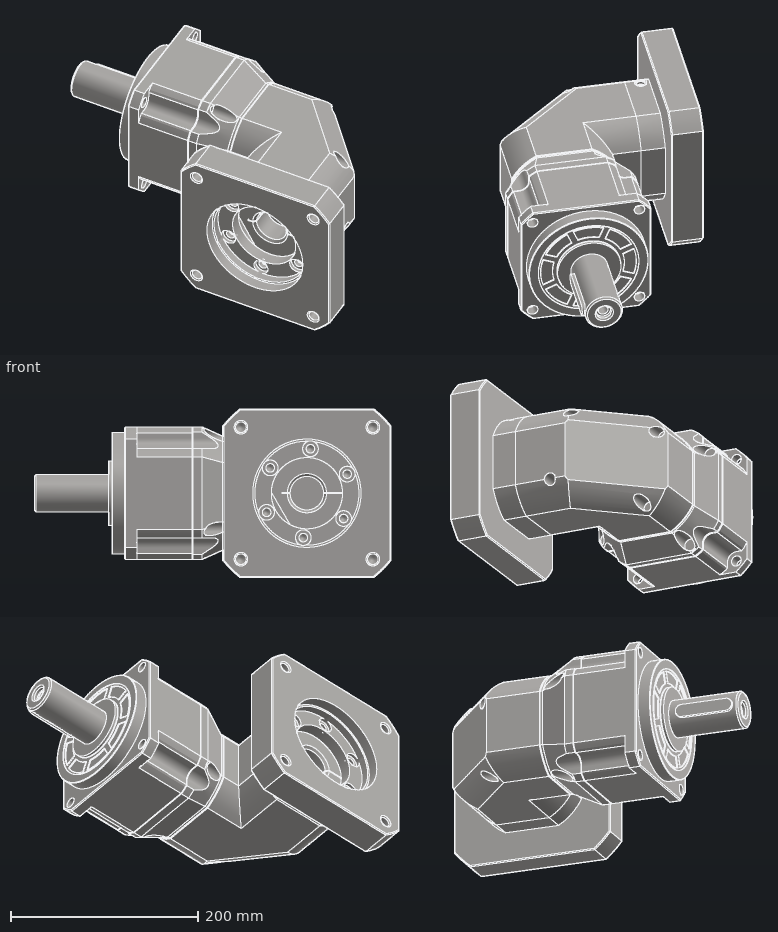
import cadquery as cq
import math


SHAFT_TIP = -291.0
SHOULDER_FRONT = SHAFT_TIP + 79.2
BOSS_FRONT = SHOULDER_FRONT + 3.5
FLANGE_FRONT = SHAFT_TIP + 96.5
FLANGE_BACK = FLANGE_FRONT + 13.0
HOUSING_SEAM = SHAFT_TIP + 169.0
TAPER_START = HOUSING_SEAM + 10.0
TAPER_END = TAPER_START + 30.5
ELBOW_SEAM = TAPER_END + 3.0

PLATE_FRONT = -149.7
PLATE_THICKNESS = 35.0
PLATE_BACK = PLATE_FRONT + PLATE_THICKNESS
COLLAR_SEAM = -88.5

HOUSING_SIDE = 141.7
HOUSING_CORNER_RADIUS = 80.8
FLANGE_CORNER_RADIUS = 91.5
LEG_SIDE = 114.3
LEG_CORNER_RADIUS = 64.8
PLATE_SIDE = 180.0
PLATE_CORNER_RADIUS = 115.0
EDGE_CHAMFER = 1.0
SEAM_CHAMFER = 0.8

SHAFT_RADIUS = 20.2
SHAFT_CHAMFER = 2.0
SHOULDER_RADIUS = 34.5
CENTRE_SINK_RADIUS = 10.0
CENTRE_BORE_RADIUS = 8.0
CENTRE_BORE_DEPTH = 4.0
CENTRE_DRILL_RADIUS = 5.5
CENTRE_DRILL_DEPTH = 23.0
KEY_LENGTH = 64.8
KEY_WIDTH = 13.7
KEY_HEIGHT = 9.0
KEY_TOP = 23.0
KEY_START = SHAFT_TIP + 5.7

BOSS_RADIUS = 65.0
BOSS_CHAMFER = 0.57
FACE_RECESS_RADIUS = 55.0
FACE_RECESS_DEPTH = 0.8
POCKET_COUNT = 8
POCKET_INNER_RADIUS = 39.2
POCKET_OUTER_RADIUS = 52.2
POCKET_RIB_WIDTH = 7.2
POCKET_DEPTH = 1.0
BOLT_OFFSET = 58.3
BOLT_HOLE_RADIUS = 5.7
GROOVE_RADIUS = 10.5
GROOVE_WALL = BOLT_OFFSET - GROOVE_RADIUS
BEVEL_WIDTH = 2.0
BEVEL_DEPTH = 2.3

SCALLOP_RADIUS = 7.2
SCALLOP_ACROSS = 38.0
SCALLOP_HEIGHT = 61.7

SLANT_ANGLE = 49.6
SLANT_DEPTH = 24.5
ELBOW_BORE_RADIUS = 6.5
ELBOW_BORE_ACROSS = 30.5
ELBOW_BORE_HEIGHT = 47.5
ELBOW_BORE_FLOOR = -26.5

CAVITY_RADIUS = 38.0
HUB_BORE_RADIUS = 18.0
HUB_BORE_CHAMFER = 3.0
HUB_FLAT_DISTANCE = 32.5
HUB_FLAT_ANGLE = 210
HUB_SLIT_WIDTH = 1.0
HUB_NOTCH_END = 26.5
ACCESS_X = 27.0
ACCESS_Y = -105.0
ACCESS_RADIUS = 3.0
ACCESS_SINK_RADIUS = 6.5
ACCESS_SINK_DEPTH = 2.3
ACCESS_BORE_RADIUS = 4.5
ACCESS_BORE_DEPTH = 5.7

PILOT_RADIUS = 55.5
PILOT_DEPTH = 21.5
PILOT_LIP_RADIUS = 58.0
PILOT_LIP_DEPTH = 12.2
MOUNT_OFFSET = 70.5
MOUNT_RADIUS = 5.7
MOUNT_SINK_RADIUS = 7.2
MOUNT_DEPTH = 23.0
SCREW_COUNT = 6
SCREW_CIRCLE_RADIUS = 47.5
SCREW_START_ANGLE = 25.4
SCREW_HEAD_RADIUS = 8.5
SCREW_HEAD_DEPTH = 13.5
SCREW_HOLE_RADIUS = 4.5
SCREW_HOLE_DEPTH = 19.0

DRILL_TIP_SLOPE = 0.5
FAR = 381.0


def x_cylinder(radius, start, end, y=0, z=0):
    return cq.Workplane("YZ", origin=(start, y, z)).circle(radius).extrude(end - start)


def y_cylinder(radius, start, end, x=0, z=0):
    return cq.Workplane("XZ", origin=(x, start, z)).circle(radius).extrude(start - end)


def round_square_x(side, radius, start, end):
    """Square bar along X with its corners rounded by a coaxial circle."""
    bar = cq.Workplane("YZ", origin=(start, 0, 0)).rect(side, side).extrude(end - start)
    return bar.intersect(x_cylinder(radius, start, end))


def round_square_y(side, radius, start, end):
    """Square bar along Y with its corners rounded by a coaxial circle."""
    bar = cq.Workplane("XZ", origin=(0, start, 0)).rect(side, side).extrude(start - end)
    return bar.intersect(y_cylinder(radius, start, end))


def drill(steps):
    """Hole tool along +Z from the origin: (radius, depth) points down its wall, then a cone tip."""
    last_radius, last_depth = steps[-1]
    tip = (0, last_depth + last_radius * DRILL_TIP_SLOPE)
    profile = cq.Workplane("XZ").polyline([(0, 0), *steps, tip]).close()
    return profile.revolve(360, (0, 0, 0), (0, 1, 0))


def aimed_along_x(tool, x, y, z):
    return tool.rotate((0, 0, 0), (0, 1, 0), 90).translate((x, y, z))


def aimed_along_y(tool, x, y, z):
    return tool.rotate((0, 0, 0), (1, 0, 0), -90).translate((x, y, z))


def quarter_turns(tool):
    """The tool repeated four times around the output axis."""
    return [tool.rotate((0, 0, 0), (1, 0, 0), 90 * turn) for turn in range(4)]


def make_key():
    middle = KEY_START + KEY_LENGTH / 2
    bar = cq.Workplane("XZ", origin=(middle, KEY_TOP, 0)).slot2D(KEY_LENGTH, KEY_WIDTH)
    return bar.extrude(KEY_HEIGHT)


def make_shaft(key):
    shaft = x_cylinder(SHAFT_RADIUS, SHAFT_TIP, SHOULDER_FRONT).faces("<X").chamfer(SHAFT_CHAMFER)
    shaft = shaft.union(x_cylinder(SHOULDER_RADIUS, SHOULDER_FRONT, BOSS_FRONT))
    sink_depth = CENTRE_SINK_RADIUS - CENTRE_BORE_RADIUS
    bore_floor = sink_depth + CENTRE_BORE_DEPTH
    centre_hole = drill(
        [
            (CENTRE_SINK_RADIUS, 0),
            (CENTRE_BORE_RADIUS, sink_depth),
            (CENTRE_BORE_RADIUS, bore_floor),
            (CENTRE_DRILL_RADIUS, bore_floor),
            (CENTRE_DRILL_RADIUS, CENTRE_DRILL_DEPTH),
        ]
    )
    return shaft.cut(aimed_along_x(centre_hole, SHAFT_TIP, 0, 0)).cut(key)


def corner_groove(start, end):
    """Bolt clearance along one housing corner: a right-angled notch with a rounded root."""
    root = BOLT_OFFSET - GROOVE_RADIUS * math.sqrt(0.5)
    outline = (
        cq.Workplane("YZ", origin=(start, 0, 0))
        .moveTo(GROOVE_WALL, BOLT_OFFSET)
        .lineTo(GROOVE_WALL, FAR)
        .lineTo(FAR, FAR)
        .lineTo(FAR, GROOVE_WALL)
        .lineTo(BOLT_OFFSET, GROOVE_WALL)
        .threePointArc((root, root), (GROOVE_WALL, BOLT_OFFSET))
        .close()
    )
    return outline.extrude(end - start)


def groove_bevel(start, end):
    """Bevel along the mouth edge of one groove wall."""
    bevel_y = GROOVE_WALL - BEVEL_WIDTH
    bevel_z = math.sqrt(HOUSING_CORNER_RADIUS**2 - bevel_y**2)
    outline = cq.Workplane("YZ", origin=(start, 0, 0)).polyline(
        [
            (GROOVE_WALL, bevel_z - BEVEL_DEPTH),
            (bevel_y, bevel_z),
            (bevel_y, HOUSING_CORNER_RADIUS),
            (GROOVE_WALL, HOUSING_CORNER_RADIUS),
        ]
    )
    return outline.close().extrude(end - start)


def face_pocket():
    """One sector pocket in the boss face, flanked by straight ribs, centred on +Z."""
    half_angle = math.pi / POCKET_COUNT
    apex = POCKET_RIB_WIDTH / 2 / math.sin(half_angle)
    reach = FAR * math.tan(half_angle)
    start = BOSS_FRONT + FACE_RECESS_DEPTH
    ring = x_cylinder(POCKET_OUTER_RADIUS, start, start + POCKET_DEPTH).cut(
        x_cylinder(POCKET_INNER_RADIUS, start, start + POCKET_DEPTH)
    )
    wedge = (
        cq.Workplane("YZ", origin=(start, 0, 0))
        .polyline([(0, apex), (reach, apex + FAR), (-reach, apex + FAR)])
        .close()
        .extrude(POCKET_DEPTH)
    )
    return ring.intersect(wedge)


def make_front_housing():
    flange = round_square_x(HOUSING_SIDE, FLANGE_CORNER_RADIUS, FLANGE_FRONT, FLANGE_BACK)
    flange = flange.faces("<X").chamfer(EDGE_CHAMFER)
    for side_y in (-BOLT_OFFSET, BOLT_OFFSET):
        for side_z in (-BOLT_OFFSET, BOLT_OFFSET):
            flange = flange.cut(
                x_cylinder(BOLT_HOLE_RADIUS, FLANGE_FRONT, FLANGE_BACK, side_y, side_z)
            )
    barrel = round_square_x(HOUSING_SIDE, HOUSING_CORNER_RADIUS, FLANGE_BACK, HOUSING_SEAM)
    bevel = groove_bevel(FLANGE_BACK, HOUSING_SEAM)
    for tool in (corner_groove(FLANGE_BACK, HOUSING_SEAM), bevel, bevel.mirror("XY")):
        for cut in quarter_turns(tool):
            barrel = barrel.cut(cut)
    barrel = barrel.faces(">X").chamfer(SEAM_CHAMFER)
    boss = x_cylinder(BOSS_RADIUS, BOSS_FRONT, FLANGE_FRONT).faces("<X").chamfer(BOSS_CHAMFER)
    recess = x_cylinder(FACE_RECESS_RADIUS, BOSS_FRONT, BOSS_FRONT + FACE_RECESS_DEPTH)
    recess = recess.cut(x_cylinder(SHOULDER_RADIUS, BOSS_FRONT, BOSS_FRONT + FACE_RECESS_DEPTH))
    boss = boss.cut(recess)
    pocket = face_pocket()
    for index in range(POCKET_COUNT):
        boss = boss.cut(pocket.rotate((0, 0, 0), (1, 0, 0), 360 / POCKET_COUNT * index))
    return flange.union(barrel).union(boss)


def make_rear_housing():
    block = round_square_x(HOUSING_SIDE, HOUSING_CORNER_RADIUS, HOUSING_SEAM, TAPER_START)
    taper_length = TAPER_END - TAPER_START
    pyramid = (
        cq.Workplane("YZ", origin=(TAPER_START, 0, 0))
        .rect(HOUSING_SIDE, HOUSING_SIDE)
        .workplane(offset=taper_length)
        .rect(LEG_SIDE, LEG_SIDE)
        .loft(ruled=True)
    )
    cone = cq.Workplane(
        cq.Solid.makeCone(
            HOUSING_CORNER_RADIUS,
            LEG_CORNER_RADIUS,
            taper_length,
            pnt=cq.Vector(TAPER_START, 0, 0),
            dir=cq.Vector(1, 0, 0),
        )
    )
    neck = round_square_x(LEG_SIDE, LEG_CORNER_RADIUS, TAPER_END, ELBOW_SEAM)
    housing = block.union(pyramid.intersect(cone)).union(neck)
    for groove in quarter_turns(corner_groove(HOUSING_SEAM, TAPER_END)):
        housing = housing.cut(groove)
    scallop = x_cylinder(SCALLOP_RADIUS, TAPER_START, TAPER_END, -SCALLOP_ACROSS, SCALLOP_HEIGHT)
    for cut in quarter_turns(scallop):
        housing = housing.cut(cut)
    return housing


def make_elbow():
    """Two legs mitred at 45 degrees, with the outer corner cut back by a rounded slant."""
    half_side = LEG_SIDE / 2
    mitre = cq.Workplane("XY", origin=(0, 0, -FAR)).polyline([(-FAR, -FAR), (FAR, FAR), (-FAR, FAR)])
    mitre_side = mitre.close().extrude(2 * FAR)
    output_leg = round_square_x(LEG_SIDE, LEG_CORNER_RADIUS, ELBOW_SEAM, half_side)
    output_leg = output_leg.faces("<X").chamfer(SEAM_CHAMFER)
    motor_leg = round_square_y(LEG_SIDE, LEG_CORNER_RADIUS, half_side, COLLAR_SEAM)
    elbow = output_leg.intersect(mitre_side).union(motor_leg.cut(mitre_side))

    arc_centre = -math.sqrt(LEG_CORNER_RADIUS**2 - half_side**2)
    outward = cq.Vector(math.sin(math.radians(SLANT_ANGLE)), math.cos(math.radians(SLANT_ANGLE)), 0)
    along = outward.cross(cq.Vector(0, 0, 1))
    frame = cq.Plane(origin=along.multiply(-FAR).toTuple(), xDir=outward.toTuple(), normal=along.toTuple())
    slab = cq.Workplane(frame).center((SLANT_DEPTH - FAR) / 2, 0)
    slab = slab.rect(FAR + SLANT_DEPTH, LEG_SIDE).extrude(2 * FAR)
    rod = cq.Workplane(frame).center(arc_centre, 0).circle(LEG_CORNER_RADIUS).extrude(2 * FAR)
    inner = cq.Workplane(frame).center(-FAR / 2, 0).rect(FAR, LEG_SIDE).extrude(2 * FAR)
    elbow = elbow.intersect(slab.intersect(rod.union(inner)))

    bore = x_cylinder(ELBOW_BORE_RADIUS, ELBOW_BORE_FLOOR, FAR, -ELBOW_BORE_ACROSS, ELBOW_BORE_HEIGHT)
    for cut in quarter_turns(bore):
        elbow = elbow.cut(cut)
    return elbow


def make_collar():
    collar = round_square_y(LEG_SIDE, LEG_CORNER_RADIUS, COLLAR_SEAM, PLATE_BACK)
    collar = collar.cut(y_cylinder(CAVITY_RADIUS, COLLAR_SEAM, PLATE_BACK))
    top = cq.Workplane("XY", origin=(ACCESS_X, ACCESS_Y, LEG_SIDE / 2))
    collar = collar.cut(top.circle(ACCESS_SINK_RADIUS).extrude(-ACCESS_SINK_DEPTH))
    collar = collar.cut(top.circle(ACCESS_BORE_RADIUS).extrude(-ACCESS_BORE_DEPTH))
    return collar.cut(top.circle(ACCESS_RADIUS).extrude(-LEG_SIDE / 2))


def make_hub():
    hub = y_cylinder(CAVITY_RADIUS, COLLAR_SEAM, PLATE_BACK)
    hub = hub.cut(y_cylinder(HUB_BORE_RADIUS, COLLAR_SEAM, PLATE_BACK))
    hub = hub.faces("<Y").edges(cq.selectors.RadiusNthSelector(0)).chamfer(HUB_BORE_CHAMFER)
    length = COLLAR_SEAM - PLATE_BACK
    flat = cq.Workplane("XY").box(FAR, length, FAR, centered=(False, False, True))
    flat = flat.translate((HUB_FLAT_DISTANCE, PLATE_BACK, 0))
    hub = hub.cut(flat.rotate((0, 0, 0), (0, 1, 0), -HUB_FLAT_ANGLE))
    slit = cq.Workplane("XY").box(
        CAVITY_RADIUS + HUB_NOTCH_END, length, HUB_SLIT_WIDTH, centered=(False, False, True)
    )
    return hub.cut(slit.translate((-HUB_NOTCH_END, PLATE_BACK, 0)))


def make_plate():
    plate = round_square_y(PLATE_SIDE, PLATE_CORNER_RADIUS, PLATE_BACK, PLATE_FRONT)
    plate = plate.faces("<Y or >Y").chamfer(EDGE_CHAMFER)
    floor = PLATE_FRONT + PILOT_DEPTH
    lip = PLATE_FRONT + PILOT_LIP_DEPTH
    plate = plate.cut(y_cylinder(PILOT_RADIUS, floor, PLATE_FRONT))
    plate = plate.cut(y_cylinder(PILOT_LIP_RADIUS, lip, PLATE_FRONT))
    plate = plate.cut(y_cylinder(CAVITY_RADIUS, PLATE_BACK, PLATE_FRONT))

    mount_sink = MOUNT_SINK_RADIUS - MOUNT_RADIUS
    mount = drill([(MOUNT_SINK_RADIUS, 0), (MOUNT_RADIUS, mount_sink), (MOUNT_RADIUS, MOUNT_DEPTH)])
    for side_x in (-MOUNT_OFFSET, MOUNT_OFFSET):
        for side_z in (-MOUNT_OFFSET, MOUNT_OFFSET):
            plate = plate.cut(aimed_along_y(mount, side_x, PLATE_FRONT, side_z))

    screw = drill(
        [
            (SCREW_HEAD_RADIUS, 0),
            (SCREW_HEAD_RADIUS, SCREW_HEAD_DEPTH),
            (SCREW_HOLE_RADIUS, SCREW_HEAD_DEPTH),
            (SCREW_HOLE_RADIUS, SCREW_HOLE_DEPTH),
        ]
    )
    for index in range(SCREW_COUNT):
        angle = math.radians(SCREW_START_ANGLE + 360 / SCREW_COUNT * index)
        x = SCREW_CIRCLE_RADIUS * math.cos(angle)
        z = SCREW_CIRCLE_RADIUS * math.sin(angle)
        plate = plate.cut(aimed_along_y(screw, x, lip, z))
    return plate


key = make_key()
shaft = make_shaft(key)
front_housing = make_front_housing()
rear_housing = make_rear_housing()
elbow = make_elbow()
collar = make_collar()
hub = make_hub()
plate = make_plate()

bodies = [shaft, key, front_housing, rear_housing, elbow, collar, hub, plate]
result = cq.Compound.makeCompound([body.val() for body in bodies])